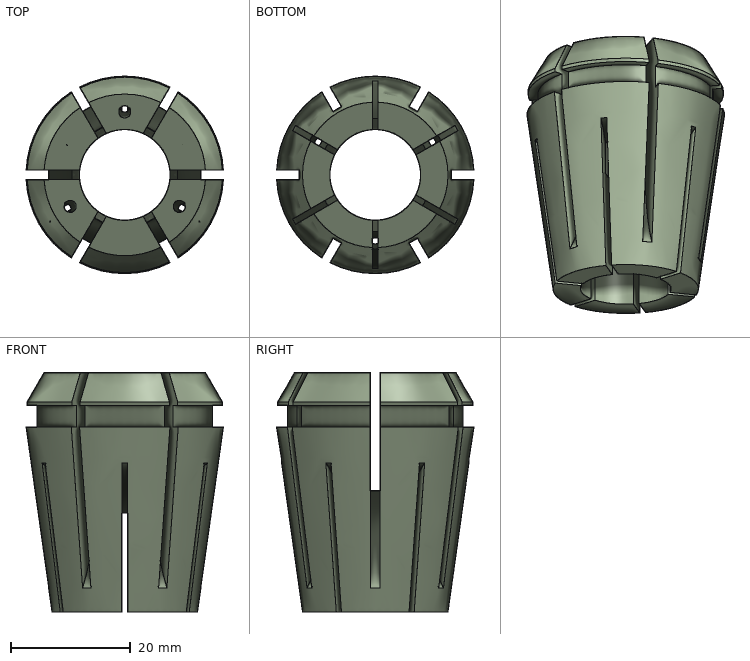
import cadquery as cq
import math

height = 40.0
taper_diameter = 33.0
taper_radius = taper_diameter / 2
taper_half_angle = 8.0
taper_top = 30.9
bore_radius = 7.55

groove_diameter = 29.4
groove_radius = groove_diameter / 2
rim_bottom = 34.5
rim_top = 35.1
rim_radius = 16.3
head_half_angle = 30.0

slot_count = 6
slot_pitch = 360.0 / slot_count
ramp_angle = 15.0
upper_slot_width = 1.6
upper_arc_radius = 26.0
upper_arc_center_r = 34.7
upper_arc_center_z = 17.9
upper_arc_inner_z = 20.3
lower_slot_width = 1.0
lower_arc_radius = 17.45
lower_arc_center_r = 25.9
lower_arc_center_z = 10.85
lower_arc_inner_z = 16.5

hole_count = 3
hole_pitch = 360.0 / hole_count
first_hole_angle = 90.0
hole_diameter = 2.0
hole_pitch_radius = 10.5
hole_tilt = 2.7
hole_depth = 23.8

clearance = 0.8
outer_reach = taper_radius + clearance


def tan_deg(angle):
    return math.tan(math.radians(angle))


def make_body():
    """Revolve the collet half section about Z."""
    bottom_radius = taper_radius - taper_top * tan_deg(taper_half_angle)
    top_radius = rim_radius - (height - rim_top) * tan_deg(head_half_angle)
    section = (
        cq.Workplane("XZ")
        .moveTo(bore_radius, 0)
        .lineTo(bottom_radius, 0)
        .lineTo(taper_radius, taper_top)
        .lineTo(groove_radius, taper_top)
        .lineTo(groove_radius, rim_bottom)
        .lineTo(rim_radius, rim_bottom)
        .lineTo(rim_radius, rim_top)
        .lineTo(top_radius, height)
        .lineTo(bore_radius, height)
        .close()
    )
    return section.revolve(360, (0, 0, 0), (0, 1, 0))


def make_slot(width, arc_radius, center_r, center_z, inner_z, end_z):
    """Radial slot along +X, open at end_z, with a concave arc at its closed end."""
    away = math.copysign(1.0, end_z - inner_z)

    def arc_point(z):
        return (center_r - math.sqrt(arc_radius**2 - (z - center_z) ** 2), z)

    def arc_height(r):
        return center_z - away * math.sqrt(arc_radius**2 - (r - center_r) ** 2)

    inner = arc_point(inner_z)
    outer = (outer_reach, arc_height(outer_reach))
    middle = arc_point((inner[1] + outer[1]) / 2)
    ramp_end_z = inner_z - away * inner[0] * tan_deg(ramp_angle)
    profile = (
        cq.Workplane("XZ")
        .moveTo(0, end_z)
        .lineTo(0, ramp_end_z)
        .lineTo(*inner)
        .threePointArc(middle, outer)
        .lineTo(outer_reach, end_z)
        .close()
    )
    return profile.extrude(width / 2, both=True)


def make_coolant_hole():
    """Flat-bottomed hole leaning towards +X, drilled from the top face into a lower slot."""
    tilt = math.radians(hole_tilt)
    direction = cq.Vector(math.sin(tilt), 0, -math.cos(tilt))
    start = cq.Vector(hole_pitch_radius, 0, height) - direction * clearance
    drill = cq.Solid.makeCylinder(hole_diameter / 2, hole_depth + clearance, start, direction)
    return cq.Workplane(obj=drill)


def about_axis(tool, angle):
    return tool.rotate((0, 0, 0), (0, 0, 1), angle)


upper_slot = make_slot(
    upper_slot_width, upper_arc_radius, upper_arc_center_r, upper_arc_center_z,
    upper_arc_inner_z, height + clearance,
)
lower_slot = make_slot(
    lower_slot_width, lower_arc_radius, lower_arc_center_r, lower_arc_center_z,
    lower_arc_inner_z, -clearance,
)
coolant_hole = make_coolant_hole()

result = make_body()
for i in range(slot_count):
    result = result.cut(about_axis(upper_slot, i * slot_pitch))
    result = result.cut(about_axis(lower_slot, (i + 0.5) * slot_pitch))

for i in range(hole_count):
    result = result.cut(about_axis(coolant_hole, first_hole_angle + i * hole_pitch))